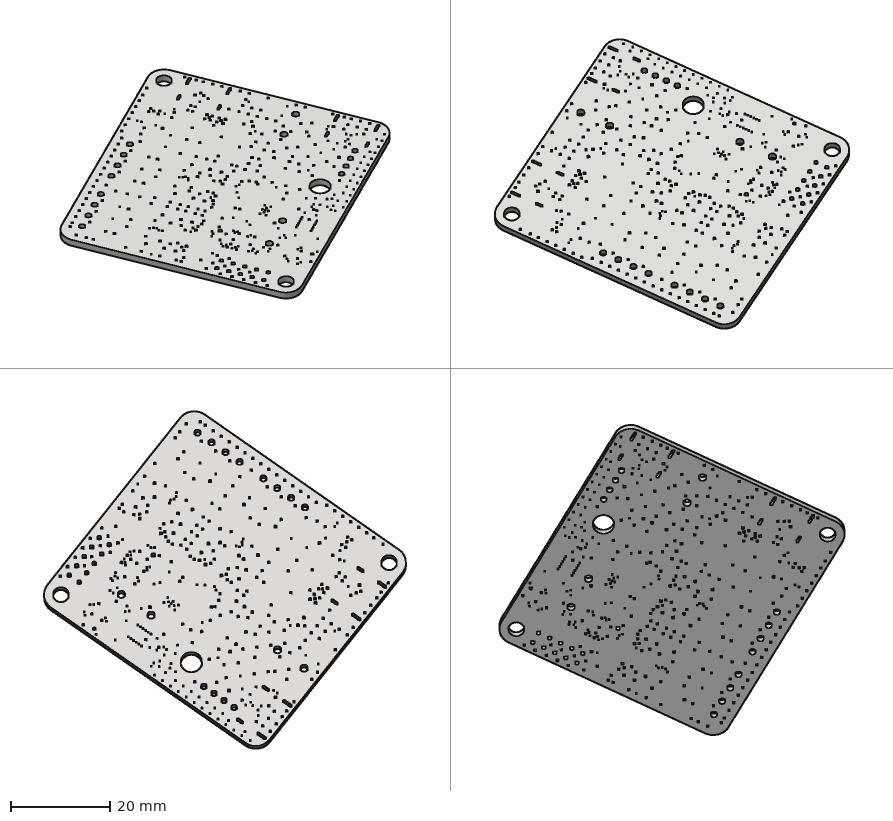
import cadquery as cq


BOARD_X = 52.0
BOARD_Y = 55.95
BOARD_Z = 1.6
CORNER_RADIUS = 3.5

MOUNTING_DIAMETER = 3.2
MOUNTING_X = 22.55
MOUNTING_Y = 24.5
OPENING_DIAMETER = 4.3
OPENING_CENTRE = (18.5, 5.3)

TERMINAL_DIAMETER = 1.3
TERMINAL_X = -22.0
SIDE_HEADER_DIAMETER = 1.2
SIDE_HEADER_X = 21.2
PEG_DIAMETER = 1.5
PEG_X = 6.0
LOWER_PEG_X = 15.2
PIN_DIAMETER = 0.8
PIN_ROWS_Y = (-23.15, -25.7)
SINGLE_PIN = (4.55, -14.65)

SLOT_WIDTH = 0.5
LONG_SLOT_LENGTH = 2.1
LONG_SLOT_Y = 26.2
SHORT_SLOT_LENGTH = 1.55
SHORT_SLOT_Y = 20.75
SLOT_SPACING = 8.75
SOCKET_CENTRES_X = (-13.55, 18.45)

FIDUCIAL_DIAMETER = 0.55
LARGE_VIA_DIAMETER = 0.5
MEDIUM_VIA_DIAMETER = 0.4
SMALL_VIA_DIAMETER = 0.25
CHANNEL_PAIR_CENTRES_Y = (-2.45, -19.0)


def column(x, *ys):
    """Points that share one X."""
    return [(x, y) for y in ys]


def row(y, *xs):
    """Points that share one Y."""
    return [(x, y) for x in xs]


def grid(xs, ys):
    return [(x, y) for x in xs for y in ys]


def spread(first, last, count):
    """Evenly spaced places from first to last."""
    return [first + (last - first) * i / (count - 1) for i in range(count)]


def mirrored_channels(points):
    """Repeat (x, offset) points on both sides of the middle of each channel pair."""
    return [
        (x, centre + side * offset)
        for centre in CHANNEL_PAIR_CENTRES_Y
        for side in (1, -1)
        for x, offset in points
    ]


def drill(board, diameter, points):
    cutters = cq.Workplane().pushPoints(points).circle(diameter / 2).extrude(BOARD_Z)
    return board.cut(cutters)


def cut_slots(board, length, y):
    """Cut a pair of slots, long in Y, for each socket."""
    centres = [(x + side * SLOT_SPACING / 2, y) for x in SOCKET_CENTRES_X for side in (-1, 1)]
    cutters = cq.Workplane().pushPoints(centres).slot2D(length, SLOT_WIDTH, 90).extrude(BOARD_Z)
    return board.cut(cutters)


fiducials = [(18.9, 15.05), (24.45, -14.7)]

large_vias = (
    mirrored_channels(row(4.75, -8.05, -4.1, -1.7) + [(-5.65, 2.95)])
    + [(-5.65, -0.7)]
    + column(-0.1, -1.0, -5.0, -6.5, -16.25, -21.55)
    + column(-15.1, 22.6, 1.45, -6.5, -15.0, -23.05)
    + [(-17.6, 10.7)]
    + column(-6.7, 17.8, 16.45)
    + [(-10.7, 17.8), (-7.4, 17.1)]
    + row(17.8, -2.75, -0.7)
    + column(2.5, *spread(8.75, 4.75, 3))
    + row(10.25, 6.7, 10.0, 12.05)
    + row(-27.05, 11.8, 16.9)
    + [(14.45, 23.5), (14.0, -8.5), (6.7, -22.0)]
)

medium_vias = (
    column(-25.0, 21.15, 18.85, *spread(17.0, 7.0, 6))
    + column(-24.25, *spread(5.0, -21.0, 14), -23.0, -24.25)
    + row(27.05, -19.0, -16.5, -15.0, -13.0, -10.95, -7.0, -5.05, -1.0, 5.05, 7.0, 13.0, 15.5)
    + grid((17.0, 19.0, 21.0), (27.05, 25.1))
    + row(-26.25, -22.15, -20.0, -18.4, -11.5, -8.05, -4.1, -0.5, 0.55)
    + row(-27.05, 9.3, 14.35, 19.4)
    + row(-24.45, 4.1, 6.7, 9.3, 12.25, 14.65)
    + grid((-22.0, -20.0), (15.5, 14.5))
    + column(-21.1, 15.0, 9.5, 7.5, 1.95)
    + column(-21.0, -1.45, -5.0, *spread(-14.45, -21.55, 3))
    + [(-22.0, -9.75), (-20.4, 5.25), (-19.5, -10.75), (-17.1, 16.1), (-14.4, -10.7)]
    + column(-17.0, 14.45, *spread(1.45, -6.5, 3), -10.7, -23.05)
    + column(-13.55, -1.45, -3.75, -17.9, -20.2)
    + column(-11.5, 4.75, -9.85, -11.8)
    + grid((-14.8, -13.75), (19.25, 17.75))
    + [(-14.2, 23.6), (-13.4, 23.1), (-12.25, 22.5), (-12.05, 13.0)]
    + row(9.25, -11.8, -8.95)
    + grid((-9.5, -8.05), (17.8, 16.45))
    + [(-10.7, 16.45), (-9.95, 17.1), (-8.3, 15.2), (-5.55, 12.5), (-4.05, 6.7)]
    + row(23.0, -5.0, -2.95, -1.0)
    + row(21.0, -7.15, -5.0, -2.95, -1.0, 1.0, 2.95)
    + [(-5.05, 25.0), (-1.45, 19.05), (-0.5, 15.5), (-1.0, 10.85), (1.1, 11.8), (1.5, 13.55), (1.8, 16.25)]
    + mirrored_channels([(-3.4, 3.0), (-8.9, 2.65)])
    + row(5.0, -8.1, -5.9, -4.1)
    + grid((-8.05, -5.9, -4.1, -2.0, -0.5), (-10.0, -11.5))
    + [(-5.65, -4.25)]
    + column(-2.1, -0.7, -4.25, -17.0, -21.25)
    + column(-0.9, -0.35, -4.3, -15.8, -22.15)
    + column(-0.1, 1.5, 0.5, -15.0, -23.0)
    + column(0.35, -7.5, -8.5, -13.0, -14.0)
    + row(5.15, -0.5, 0.6)
    + [(0.55, 3.5), (0.6, -25.0)]
    + column(4.0, 18.0, 14.0, 11.8, 8.75)
    + column(5.0, 20.05, 7.0, 5.25)
    + column(6.0, 16.0, 12.05)
    + column(6.95, 19.0, 4.0)
    + column(8.0, 22.05, 14.0)
    + column(10.0, 23.0, 20.05, 15.0, 12.0, 8.0)
    + column(13.0, 17.0, 13.0, 8.05, 1.0, -1.0)
    + column(15.0, 10.9, 2.95)
    + column(19.0, 18.4, 12.05)
    + row(23.5, 16.75, 21.0)
    + row(3.0, 9.0, 12.0)
    + [(10.9, 19.0), (17.0, 12.95), (15.85, 7.85), (21.55, 8.4)]
    + [(3.2, 1.1), (4.55, 1.8), (6.05, 1.95), (6.55, 1.45)]
    + row(-7.0, 4.85, 5.9)
    + column(8.0, -16.3, -17.75)
    + column(11.75, -13.95, -16.5)
    + column(17.0, -2.75, -14.65)
    + [(3.5, -10.9), (3.9, -13.6), (6.0, -15.1), (5.55, -17.35), (8.5, -14.1)]
    + [(6.05, -26.5), (9.3, -22.0), (7.7, -18.85), (9.7, -18.85)]
    + [(19.85, -1.85), (20.1, -5.0), (19.55, -17.25), (22.1, -14.6)]
    + row(-17.0, 22.15, 25.1)
)

small_vias = (
    column(25.2, *spread(22.95, 1.0, 12), -13.7)
    + column(23.6, *spread(17.0, 5.1, 7))
    + [(24.95, 24.95), (24.05, 22.95), (24.1, 18.85), (24.05, -0.65), (23.85, -9.9)]
    + grid((18.5, 21.7), spread(-4.85, -8.15, 6))
    + row(-3.3, 18.5, 21.0)
    + grid((10.2, 11.5), (-4.15, -5.5, -6.85))
    + column(10.8, -4.75, -5.5, -6.15)
    + row(11.0, -23.15, -22.3, -19.2)
    + column(-17.0, -15.0, -19.0)
    + [(-18.75, 15.0), (-17.45, 17.0), (-13.5, 21.0), (-15.0, 5.55), (-15.3, 9.25)]
    + [(-9.05, -2.2), (-8.4, -1.95), (-7.95, -1.55), (-7.3, -1.8), (-7.05, -2.4)]
    + row(-19.0, -9.05, -7.05)
    + row(-18.5, -8.4, -7.65)
    + column(-0.9, -5.75, -17.0)
    + [(-6.4, -18.75), (-5.9, -26.35), (-4.2, 24.5), (0.2, 16.55)]
    + column(3.5, 26.1, 22.95, -2.4, -16.0, -16.8)
    + column(3.1, 0.0, -15.45)
    + column(5.55, -9.9, -21.65)
    + [(2.65, -0.65), (4.4, -3.75), (8.5, -10.0), (9.5, -10.8), (10.35, 1.95)]
    + [(15.2, -9.75)]
    + column(13.5, 23.15, 22.3)
    + row(22.3, 17.7, 18.75)
    + [(19.7, 23.0), (18.65, 20.9), (18.3, 20.1), (19.4, 19.65)]
    + row(19.0, 15.0, 17.0)
    + [(15.0, 15.0), (17.0, 17.0), (14.55, 9.05)]
    + column(22.1, 4.0, 2.65, 0.0)
    + column(23.15, 0.65, -0.65)
    + [(23.45, 2.45), (21.2, 2.2), (19.0, 1.55), (17.25, 0.9)]
    + [(19.3, -0.35), (19.2, -1.1), (20.55, 0.0), (20.6, -1.85)]
    + [(19.2, -10.6), (17.1, -11.35), (17.7, -11.9), (16.55, -12.35)]
    + row(-13.7, 7.05, 7.95, 10.8, 21.65)
    + [(7.5, -14.1), (10.35, -14.35), (21.2, -14.35)]
    + row(-16.3, 14.55, 15.95)
    + column(12.8, -17.45, -18.15)
    + row(-18.5, 12.15, 13.7, 20.75, 22.7)
    + row(-17.95, 13.9, 20.25, 23.2)
    + [(15.9, -17.1), (9.7, -17.85)]
    + row(-18.3, 6.15, 7.3, 9.25)
    + row(-18.85, 6.8, 8.75)
)

terminals = column(TERMINAL_X, *spread(3.75, -6.7, 4), *spread(-12.7, -23.3, 4))
side_header = column(SIDE_HEADER_X, *spread(18.1, 10.45, 4))
pegs = column(PEG_X, 24.35, 17.7) + column(LOWER_PEG_X, -7.3, -14.8)
pins = grid(spread(8.05, 18.2, 5), PIN_ROWS_Y) + [SINGLE_PIN]
mounting_holes = [(-MOUNTING_X, MOUNTING_Y), (MOUNTING_X, -MOUNTING_Y)]

board = cq.Workplane().box(BOARD_X, BOARD_Y, BOARD_Z, centered=(True, True, False))
board = board.edges("|Z").fillet(CORNER_RADIUS)
board = drill(board, MOUNTING_DIAMETER, mounting_holes)
board = drill(board, OPENING_DIAMETER, [OPENING_CENTRE])
board = drill(board, TERMINAL_DIAMETER, terminals)
board = drill(board, SIDE_HEADER_DIAMETER, side_header)
board = drill(board, PEG_DIAMETER, pegs)
board = drill(board, PIN_DIAMETER, pins)
board = cut_slots(board, LONG_SLOT_LENGTH, LONG_SLOT_Y)
board = cut_slots(board, SHORT_SLOT_LENGTH, SHORT_SLOT_Y)
board = drill(board, FIDUCIAL_DIAMETER, fiducials)
board = drill(board, LARGE_VIA_DIAMETER, large_vias)
board = drill(board, MEDIUM_VIA_DIAMETER, medium_vias)
result = drill(board, SMALL_VIA_DIAMETER, small_vias)